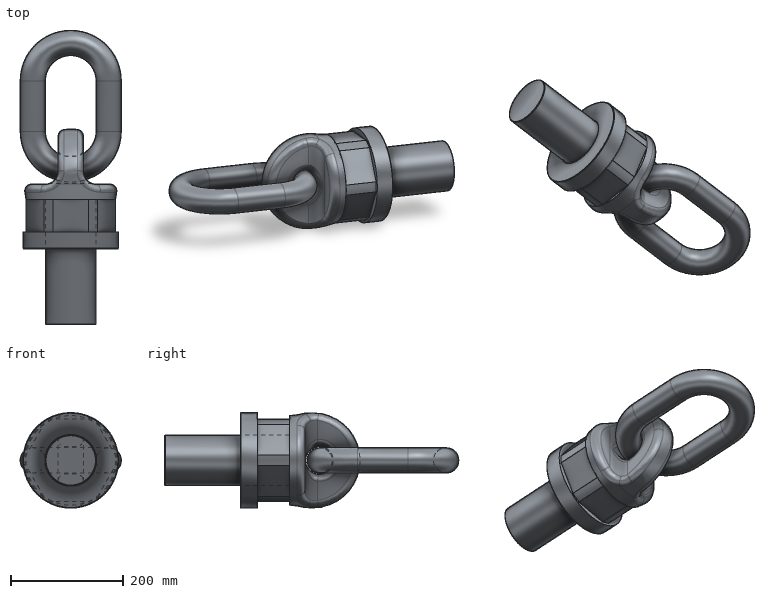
import cadquery as cq
import math


TOLERANCE = 0.05
OVERALL_LENGTH = 523.0
EDGE_CHAMFER = 1.0

BAR_DIAMETER = 45.0
LINK_BEND_RADIUS = 1.5 * BAR_DIAMETER
LINK_STRAIGHT = 2 * BAR_DIAMETER

STUD_DIAMETER = 90.0
STUD_LENGTH = 134.5

FLANGE_DIAMETER = 170.0
FLANGE_THICKNESS = 30.5
HEX_ACROSS_FLATS = 147.0
HEX_CORNER_DIAMETER = 160.0
HEX_HEIGHT = 57.5
HEX_TURN = 30.0

HEAD_RADIUS = FLANGE_DIAMETER / 2
HEAD_CENTRE_Y = 128.0
HEAD_BASE_Y = FLANGE_THICKNESS + HEX_HEIGHT
SHOULDER_Y = 115.0
EYE_THICKNESS = 45.0
EYE_HOLE_DIAMETER = 49.0
EYE_HOLE_Y = 140.5
NECK_RADIUS = 22.5
EDGE_RADIUS = 12.5

STUD_BORE_DEPTH = HEAD_BASE_Y


def disc(diameter, start_y, length):
    """Cylinder on the stud axis reaching from start_y towards +Y."""
    return cq.Workplane("XZ", origin=(0, start_y, 0)).circle(diameter / 2).extrude(-length)


def make_link():
    """Oval link: two half-circle bends joined by straight bars."""
    link_end_y = OVERALL_LENGTH - STUD_LENGTH
    far_y = link_end_y - BAR_DIAMETER / 2 - LINK_BEND_RADIUS
    near_y = far_y - LINK_STRAIGHT
    path = (
        cq.Workplane("XY")
        .moveTo(LINK_BEND_RADIUS, near_y)
        .lineTo(LINK_BEND_RADIUS, far_y)
        .threePointArc((0, far_y + LINK_BEND_RADIUS), (-LINK_BEND_RADIUS, far_y))
        .lineTo(-LINK_BEND_RADIUS, near_y)
        .threePointArc((0, near_y - LINK_BEND_RADIUS), (LINK_BEND_RADIUS, near_y))
    )
    bar_section = cq.Workplane("XZ", origin=(LINK_BEND_RADIUS, near_y, 0)).circle(BAR_DIAMETER / 2)
    return bar_section.sweep(path)


def make_stud():
    """Plain round stud, chamfered at its free end."""
    full_length = STUD_LENGTH + STUD_BORE_DEPTH
    return disc(STUD_DIAMETER, -STUD_LENGTH, full_length).faces("<Y").chamfer(EDGE_CHAMFER)


def head_blank():
    """Body of revolution: a cone that runs tangent into a spherical crown."""
    drop = HEAD_CENTRE_Y - SHOULDER_Y
    shoulder_radius = math.sqrt(HEAD_RADIUS**2 - drop**2)
    taper = drop / shoulder_radius
    base_radius = shoulder_radius - taper * (SHOULDER_Y - HEAD_BASE_Y)
    diagonal = HEAD_RADIUS * math.sqrt(0.5)
    return (
        cq.Workplane("XY")
        .moveTo(0, HEAD_BASE_Y)
        .lineTo(base_radius, HEAD_BASE_Y)
        .lineTo(shoulder_radius, SHOULDER_Y)
        .threePointArc((diagonal, HEAD_CENTRE_Y + diagonal), (0, HEAD_CENTRE_Y + HEAD_RADIUS))
        .close()
        .revolve(360, (0, 0), (0, 1))
    )


def head_envelope():
    """Upright eye plate flowing through concave necks into a wide shoulder."""
    half_eye = EYE_THICKNESS / 2
    neck_foot = half_eye + NECK_RADIUS
    neck_top_y = SHOULDER_Y + NECK_RADIUS
    reach = 2 * HEAD_RADIUS
    top_y = HEAD_CENTRE_Y + reach
    return (
        cq.Workplane("XY")
        .moveTo(-reach, HEAD_BASE_Y)
        .lineTo(reach, HEAD_BASE_Y)
        .lineTo(reach, SHOULDER_Y)
        .lineTo(neck_foot, SHOULDER_Y)
        .radiusArc((half_eye, neck_top_y), NECK_RADIUS)
        .lineTo(half_eye, top_y)
        .lineTo(-half_eye, top_y)
        .lineTo(-half_eye, neck_top_y)
        .radiusArc((-neck_foot, SHOULDER_Y), NECK_RADIUS)
        .lineTo(-reach, SHOULDER_Y)
        .close()
        .extrude(reach, both=True)
    )


def eye_hole():
    """Through hole across the eye plate for the link."""
    hole_section = cq.Workplane("YZ", origin=(0, EYE_HOLE_Y, 0)).circle(EYE_HOLE_DIAMETER / 2)
    return hole_section.extrude(HEAD_RADIUS, both=True)


def is_rounded(edge):
    """True for the curved edges that lie on a plate, neck or shoulder face."""
    middle = edge.positionAt(0.5)
    across = abs(middle.x)
    half_eye = EYE_THICKNESS / 2
    neck_foot = half_eye + NECK_RADIUS
    neck_offset = math.hypot(across - neck_foot, middle.y - SHOULDER_Y - NECK_RADIUS)
    on_plate = abs(across - half_eye) < TOLERANCE
    on_neck = abs(neck_offset - NECK_RADIUS) < TOLERANCE
    on_shoulder = abs(middle.y - SHOULDER_Y) < TOLERANCE and across > neck_foot
    return edge.geomType() != "LINE" and (on_plate or on_neck or on_shoulder)


def eye_head():
    """Eye head with one continuous rounding along its rim and around its hole."""
    head = head_blank().intersect(head_envelope()).cut(eye_hole())
    rounded_edges = [edge for edge in head.edges().vals() if is_rounded(edge)]
    return head.newObject(rounded_edges).fillet(EDGE_RADIUS)


def hexagon():
    """Wrench hexagon with turned corners, standing on the flange."""
    return (
        cq.Workplane("XZ", origin=(0, FLANGE_THICKNESS, 0))
        .polygon(6, HEX_ACROSS_FLATS, circumscribed=True)
        .extrude(-HEX_HEIGHT)
        .rotate((0, 0, 0), (0, 1, 0), HEX_TURN)
        .intersect(disc(HEX_CORNER_DIAMETER, FLANGE_THICKNESS, HEX_HEIGHT))
    )


def stud_bore():
    """Blind bore for the stud with a chamfered mouth in the seating face."""
    bore_radius = STUD_DIAMETER / 2
    return (
        cq.Workplane("XY")
        .lineTo(bore_radius + EDGE_CHAMFER, 0)
        .lineTo(bore_radius, EDGE_CHAMFER)
        .lineTo(bore_radius, STUD_BORE_DEPTH)
        .lineTo(0, STUD_BORE_DEPTH)
        .close()
        .revolve(360, (0, 0), (0, 1))
    )


def make_eye_body():
    """Flange, hexagon and eye head in one piece, bored for the stud."""
    flange = disc(FLANGE_DIAMETER, 0, FLANGE_THICKNESS).faces("<Y").chamfer(EDGE_CHAMFER)
    return flange.union(hexagon()).union(eye_head()).cut(stud_bore())


link = make_link()
stud = make_stud()
eye_body = make_eye_body()

result = cq.Compound.makeCompound([link.val(), stud.val(), eye_body.solids().val()])